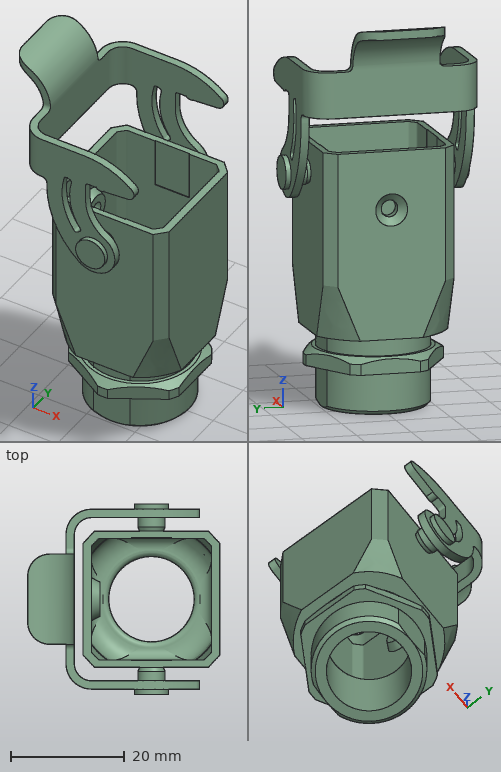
import cadquery as cq
import math

COS_45 = math.sqrt(0.5)

half_x = 12.05
half_y = 12.0
edge_cut_x = 2.0
edge_cut_y = 2.15
housing_top = 47.95
taper_top = 24.0
housing_bottom = 14.0
base_radius = 13.35

cavity_half_x = 10.55
cavity_half_y = 10.7
cavity_edge_cut = 1.3
cavity_edge_round = 0.6
cavity_floor = 15.8
cavity_base_radius = 12.35
wall_floor_fillet = 2.0
bowl_fillet = 4.3
bowl_floor_radius = 8.9
throat_fillet = 1.1
relief_half_width = 3.5
relief_depth = 0.15
relief_bottom = 38.1
bore_radius = 15.0 / 2

screw_z = 37.3
screw_radius = 3.0 / 2
sink_radius = 5.8 / 2
boss_tip_x = -9.05
boss_tip_radius = 3.0
boss_root_radius = 4.15
boss_embed = 0.7

neck_radius = 20.4 / 2
neck_half_flats = 9.5
neck_chamfer = 0.7

nut_bottom = 7.7
nut_top = 10.7
nut_apothem = 11.4
nut_corner_radius = 12.6
nut_top_radius = 10.9
nut_bevel_height = 1.1

sheet = 1.5
lever_half_y = 15.9
strap_x = -15.1
bend_radius = 3.0
strap_top = 63.4
strap_bottom = 55.05
pivot_z = 42.6
eye_radius = 4.5
arm_arc_z = pivot_z + 10.8
arm_back_x = -9.55
arm_front_x = -1.5
arm_fillet = 1.0
nose_fillet = 0.5
slot_near_x = -4.8
slot_far_x = -6.4
slot_top_angle = 16.8
slot_bottom_angle = 38.3
slot_corner_radius = 0.5

nose_arc_start_x = -1.9
nose_arc_radius = 15.3
nose_arc_end_x = 7.8
nose_tip = (8.5, 58.9)
nose_under = (7.1, 57.35)
bump_end = (2.15, 57.0)
bump_low = (1.6, 56.85)
nose_base = (0.65, 57.3)

tab_tip_x = -21.8
tab_top = 71.8
tab_half_y = 8.0
tab_corner_radius = 3.95
tab_root_fillet = 1.0

pin_radius = 4.8 / 2
pin_end_radius = 4.2 / 2
pin_chamfer_length = 0.7
pin_head_radius = 6.0 / 2
pin_head_y = 16.8


def chamfered_rectangle(hx, hy, cut_x, cut_y):
    """Corner points of a rectangle with chamfered corners, starting on the +X side."""
    return [
        (hx, -hy + cut_y), (hx, hy - cut_y),
        (hx - cut_x, hy), (-hx + cut_x, hy),
        (-hx, hy - cut_y), (-hx, -hy + cut_y),
        (-hx + cut_x, -hy), (hx - cut_x, -hy),
    ]


def chamfered_wire(hx, hy, cut_x, cut_y, z):
    points = [cq.Vector(x, y, z) for x, y in chamfered_rectangle(hx, hy, cut_x, cut_y)]
    edges = [cq.Edge.makeLine(a, b) for a, b in zip(points, points[1:] + points[:1])]
    return cq.Wire.assembleEdges(edges)


def flattened_circle_wire(hx, hy, radius, z):
    """Circle with four flats at +-hx and +-hy."""
    flat_y = math.sqrt(radius**2 - hx**2)
    flat_x = math.sqrt(radius**2 - hy**2)
    outline = chamfered_rectangle(hx, hy, hx - flat_x, hy - flat_y)
    points = [cq.Vector(x, y, z) for x, y in outline]
    diagonal = radius * COS_45
    corners = [(1, 1), (-1, 1), (-1, -1), (1, -1)]
    edges = []
    for i, (sx, sy) in enumerate(corners):
        start, flat_end = points[2 * i], points[2 * i + 1]
        arc_end = points[(2 * i + 2) % len(points)]
        edges.append(cq.Edge.makeLine(start, flat_end))
        middle = cq.Vector(sx * diagonal, sy * diagonal, z)
        edges.append(cq.Edge.makeThreePointArc(flat_end, middle, arc_end))
    return cq.Wire.assembleEdges(edges)


def edge_across(x, z):
    """Selector for the profile edge that runs along Y at the given x and z."""
    return cq.selectors.NearestToPointSelector((x, 0, z))


def cone_x(x_start, r_start, x_end, r_end):
    """Cone along +X at the height of the screw hole."""
    return cq.Workplane(cq.Solid.makeCone(
        r_start, r_end, x_end - x_start,
        cq.Vector(x_start, 0, screw_z), cq.Vector(1, 0, 0)))


def make_shell():
    outline = chamfered_rectangle(half_x, half_y, edge_cut_x, edge_cut_y)
    upper = (cq.Workplane("XY").workplane(offset=taper_top)
             .polyline(outline).close().extrude(housing_top - taper_top))
    lower = cq.Workplane(cq.Solid.makeLoft([
        flattened_circle_wire(half_x, half_y, base_radius, housing_bottom),
        chamfered_wire(half_x, half_y, edge_cut_x, edge_cut_y, taper_top)], True))
    return upper.union(lower)


def make_cavity():
    outline = chamfered_rectangle(cavity_half_x, cavity_half_y, cavity_edge_cut, cavity_edge_cut)
    upper = (cq.Workplane("XY").workplane(offset=taper_top)
             .polyline(outline).close().extrude(housing_top - taper_top)
             .edges("|Z").fillet(cavity_edge_round))
    lower = cq.Workplane(cq.Solid.makeLoft([
        flattened_circle_wire(cavity_half_x, cavity_half_y, cavity_base_radius, cavity_floor),
        chamfered_wire(cavity_half_x, cavity_half_y, cavity_edge_cut, cavity_edge_cut, taper_top)],
        True))
    return upper.union(lower.intersect(make_filleted_walls()).intersect(make_bowl()))


def make_filleted_walls():
    """Rectangular block with rounded bottom edges that shapes the foot of the cavity walls."""
    block = cq.Workplane("XY", origin=(0, 0, cavity_floor)).box(
        2 * cavity_half_x, 2 * cavity_half_y, taper_top - cavity_floor, centered=(True, True, False))
    return block.faces("<Z").edges().fillet(wall_floor_fillet)


def make_bowl():
    """Round bowl that blends the cavity corners into the floor."""
    bowl_radius = bowl_floor_radius + bowl_fillet
    return (cq.Workplane("XY", origin=(0, 0, cavity_floor))
            .circle(bowl_radius + bowl_fillet).extrude(taper_top - cavity_floor)
            .cut(make_bowl_rim(bowl_radius)))


def make_bowl_rim(bowl_radius):
    turn = bowl_fillet * COS_45
    centre_z = cavity_floor + bowl_fillet
    return (cq.Workplane("XZ").moveTo(bowl_floor_radius, cavity_floor)
            .threePointArc((bowl_floor_radius + turn, centre_z - turn), (bowl_radius, centre_z))
            .lineTo(bowl_radius + bowl_fillet, centre_z)
            .lineTo(bowl_radius + bowl_fillet, cavity_floor)
            .close().revolve(360, (0, 0, 0), (0, 1, 0)))


def make_relief():
    return cq.Workplane("XY", origin=(0, 0, relief_bottom)).box(
        2 * relief_half_width, 2 * (cavity_half_y + relief_depth), housing_top - relief_bottom,
        centered=(True, True, False))


def make_bore():
    """Through bore with a rounded mouth at the cavity floor."""
    mouth_radius = bore_radius + throat_fillet
    turn = throat_fillet * COS_45
    return (cq.Workplane("XZ")
            .moveTo(0, 0).lineTo(bore_radius, 0)
            .lineTo(bore_radius, cavity_floor - throat_fillet)
            .threePointArc((mouth_radius - turn, cavity_floor - throat_fillet + turn),
                           (mouth_radius, cavity_floor))
            .lineTo(0, cavity_floor).close().revolve(360, (0, 0, 0), (0, 1, 0)))


def make_neck():
    neck = (cq.Workplane("XY").circle(neck_radius).extrude(housing_bottom)
            .faces("<Z").chamfer(neck_chamfer))
    return neck.intersect(cq.Workplane("XY").box(
        2 * neck_radius, 2 * neck_half_flats, housing_bottom, centered=(True, True, False)))


def make_screw_hole():
    sink_end_x = -half_x + sink_radius - screw_radius
    sink = cone_x(-half_x, sink_radius, sink_end_x, screw_radius)
    hole = (cq.Workplane("YZ", origin=(-half_x, 0, screw_z))
            .circle(screw_radius).extrude(boss_tip_x + half_x))
    return sink.union(hole)


def make_housing():
    boss = cone_x(-cavity_half_x - boss_embed, boss_root_radius, boss_tip_x, boss_tip_radius)
    housing = make_shell().cut(make_cavity()).cut(make_relief())
    housing = housing.union(make_neck()).cut(make_bore())
    return housing.union(boss).cut(make_screw_hole())


def make_nut():
    hexagon = (cq.Workplane("XY").workplane(offset=nut_bottom)
               .polygon(6, 2 * nut_apothem, circumscribed=True)
               .extrude(nut_top - nut_bottom))
    turned = (cq.Workplane("XZ")
              .polyline([(neck_radius, nut_bottom), (nut_corner_radius, nut_bottom),
                         (nut_corner_radius, nut_top - nut_bevel_height),
                         (nut_top_radius, nut_top), (neck_radius, nut_top)])
              .close().revolve(360, (0, 0, 0), (0, 1, 0)))
    return hexagon.intersect(turned)


def make_side_profile():
    """Side outline of the lever sheet, extruded across its whole width."""
    rise = arm_arc_z - pivot_z
    front_radius = (rise**2 + arm_front_x**2 - eye_radius**2) / (2 * (eye_radius - arm_front_x))
    front_centre_x = arm_front_x + front_radius
    back_radius = (rise**2 + arm_back_x**2 - eye_radius**2) / (-2 * (arm_back_x + eye_radius))
    back_centre_x = arm_back_x + back_radius

    def eye_point(angle):
        return (eye_radius * math.cos(angle), pivot_z + eye_radius * math.sin(angle))

    def arc_middle(centre_x, radius, start_angle, end_angle):
        angle = (start_angle + end_angle) / 2
        return (centre_x + radius * math.cos(angle), arm_arc_z + radius * math.sin(angle))

    front_angle = math.atan2(rise, front_centre_x)
    back_angle = math.atan2(rise, back_centre_x) - math.pi
    front_middle = arc_middle(front_centre_x, front_radius, math.pi, math.pi + front_angle)
    back_middle = arc_middle(back_centre_x, back_radius, math.pi, math.pi * 2 + back_angle)

    def nose_point(x):
        run = x - nose_arc_start_x
        return (x, strap_top - nose_arc_radius + math.sqrt(nose_arc_radius**2 - run**2))

    outline = (
        cq.Workplane("XZ").moveTo(strap_x, strap_bottom).lineTo(strap_x, strap_top)
        .lineTo(nose_arc_start_x, strap_top)
        .threePointArc(nose_point((nose_arc_start_x + nose_arc_end_x) / 2), nose_point(nose_arc_end_x))
        .threePointArc(nose_tip, nose_under)
        .lineTo(*bump_end).threePointArc(bump_low, nose_base)
        .lineTo(arm_front_x, nose_base[1]).lineTo(arm_front_x, arm_arc_z)
        .threePointArc(front_middle, eye_point(front_angle))
        .threePointArc(eye_point((front_angle + back_angle) / 2), eye_point(back_angle))
        .threePointArc(back_middle, (arm_back_x, arm_arc_z))
        .lineTo(arm_back_x, strap_bottom).close()
        .extrude(lever_half_y, both=True))
    outline = outline.edges(edge_across(arm_back_x, strap_bottom)).fillet(arm_fillet)
    outline = outline.edges(edge_across(arm_front_x, nose_base[1])).fillet(nose_fillet)
    return outline.cut(make_slot(front_centre_x))


def make_slot(centre_x):
    def point(radius, degrees):
        angle = math.radians(180 + degrees)
        return (centre_x + radius * math.cos(angle), arm_arc_z + radius * math.sin(angle))

    near = centre_x - slot_near_x
    far = centre_x - slot_far_x
    middle = (slot_bottom_angle - slot_top_angle) / 2
    return (cq.Workplane("XZ").moveTo(*point(near, -slot_top_angle))
            .threePointArc(point(near, middle), point(near, slot_bottom_angle))
            .lineTo(*point(far, slot_bottom_angle))
            .threePointArc(point(far, middle), point(far, -slot_top_angle))
            .close().extrude(lever_half_y, both=True)
            .edges("|Y").fillet(slot_corner_radius))


def make_bent_sheet():
    """U-shaped sheet, open toward +X."""
    height = strap_top - pivot_z + eye_radius
    length = nose_tip[0] - strap_x
    base = cq.Workplane("XY", origin=(strap_x, 0, pivot_z - eye_radius))
    outer = (base.box(length, 2 * lever_half_y, height, centered=(False, True, False))
             .edges("|Z and <X").fillet(bend_radius + sheet))
    inner = (base.center(sheet, 0)
             .box(length, 2 * (lever_half_y - sheet), height, centered=(False, True, False))
             .edges("|Z and <X").fillet(bend_radius))
    return outer.cut(inner)


def make_tab():
    """Curled thumb tab rising from the strap and bending toward -X."""
    outer_radius = strap_x + sheet - tab_tip_x
    inner_radius = outer_radius - sheet
    centre_z = tab_top - outer_radius
    root_half_y = tab_half_y + tab_root_fillet
    curl = (cq.Workplane("XZ").moveTo(strap_x, strap_top).lineTo(strap_x, centre_z)
            .threePointArc((tab_tip_x + inner_radius * COS_45, centre_z + inner_radius * COS_45),
                           (tab_tip_x, centre_z + inner_radius))
            .lineTo(tab_tip_x, tab_top)
            .threePointArc((tab_tip_x + outer_radius * COS_45, centre_z + outer_radius * COS_45),
                           (strap_x + sheet, centre_z))
            .lineTo(strap_x + sheet, strap_top).close().extrude(root_half_y, both=True))
    fillet_top = strap_top + tab_root_fillet
    bow = tab_root_fillet * (1 - COS_45)
    width = (cq.Workplane("YZ", origin=(tab_tip_x, 0, 0))
             .moveTo(-root_half_y, strap_top)
             .threePointArc((-tab_half_y - bow, strap_top + bow), (-tab_half_y, fillet_top))
             .lineTo(-tab_half_y, tab_top).lineTo(tab_half_y, tab_top)
             .lineTo(tab_half_y, fillet_top)
             .threePointArc((tab_half_y + bow, strap_top + bow), (root_half_y, strap_top))
             .close().extrude(outer_radius))
    width = width.edges("|Z and <X").fillet(tab_corner_radius)
    return curl.intersect(width)


def make_pin(side):
    """Headed pivot pin from one side plate to the housing wall; side is +1 or -1."""
    pin = (cq.Workplane("XY")
           .polyline([(0, half_y), (pin_end_radius, half_y),
                      (pin_radius, half_y + pin_chamfer_length), (pin_radius, lever_half_y),
                      (pin_head_radius, lever_half_y), (pin_head_radius, pin_head_y), (0, pin_head_y)])
           .close().revolve(360, (0, 0, 0), (0, 1, 0))
           .translate((0, 0, pivot_z)))
    return pin if side > 0 else pin.mirror("XZ")


def make_lever():
    lever = make_bent_sheet().intersect(make_side_profile()).union(make_tab())
    for side in (1, -1):
        lever = lever.union(make_pin(side))
    return lever


housing = make_housing()
nut = make_nut()
lever = make_lever()

result = cq.Compound.makeCompound([
    housing.solids().val(),
    nut.solids().val(),
    lever.solids().val(),
])